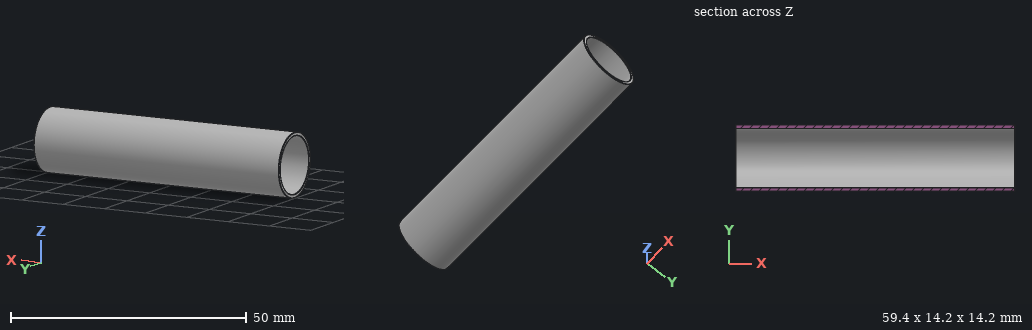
import cadquery as cq

length = 59.4
outer_diameter = 14.2
bore_diameter = 12.6
edge_chamfer = 0.1

tube = (
    cq.Workplane("YZ", origin=(-length / 2, 0, 0))
    .circle(outer_diameter / 2)
    .circle(bore_diameter / 2)
    .extrude(length)
)

result = tube.faces("<X or >X").edges().chamfer(edge_chamfer)